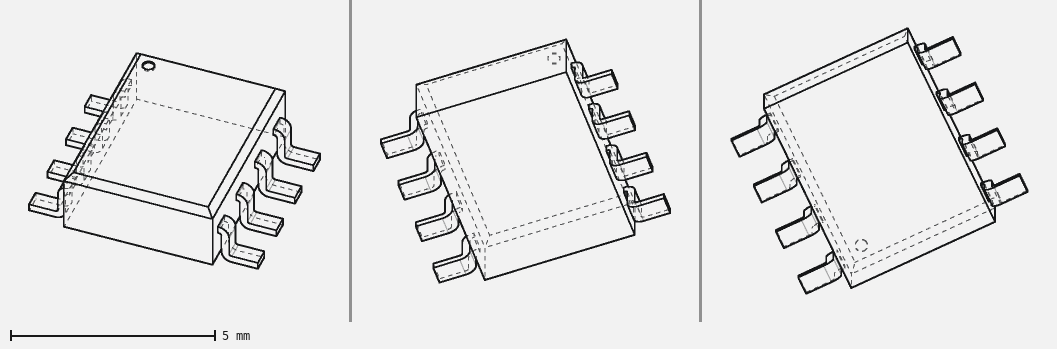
import cadquery as cq

span_x = 6.0
body_length = 5.0
total_height = 1.8

body_width = 3.9
standoff = 0.1
body_height = total_height - standoff
body_chamfer = 0.185

mark_diameter = 0.3
mark_inset = 0.51
mark_depth = 0.05

leads_per_side = 4
lead_pitch = 1.27
lead_width = 0.455
lead_thickness = 0.2
lead_top = 1.05
shank_offset = 0.755
bend_inner_radius = 0.065
lead_embed = 0.12

foot_tip_x = -span_x / 2
body_side_x = -body_width / 2
bend_outer_radius = bend_inner_radius + lead_thickness


def make_body():
    """Block with a bevelled top rim and the pin-one recess."""
    block = (
        cq.Workplane("XY", origin=(0, 0, standoff))
        .rect(body_width, body_length)
        .extrude(body_height)
        .faces(">Z")
        .chamfer(body_chamfer)
    )
    mark = (
        cq.Workplane("XY", origin=(0, 0, total_height - mark_depth))
        .center(body_side_x + mark_inset, body_length / 2 - mark_inset)
        .circle(mark_diameter / 2)
        .extrude(mark_depth)
    )
    return block.cut(mark)


def make_left_lead(y):
    """Lead on the -X side, centred at y: flat foot, upright shank, short shoulder into the body."""
    outer_x = foot_tip_x + shank_offset
    inner_x = outer_x + lead_thickness
    heel_x = outer_x - bend_inner_radius
    heel_z = bend_outer_radius
    shoulder_x = inner_x + bend_inner_radius
    shoulder_z = lead_top - bend_outer_radius
    root_x = body_side_x + lead_embed
    return (
        cq.Workplane("XZ", origin=(0, y, 0))
        .moveTo(foot_tip_x, 0)
        .lineTo(heel_x, 0)
        .radiusArc((inner_x, heel_z), -bend_outer_radius)
        .lineTo(inner_x, shoulder_z)
        .radiusArc((shoulder_x, lead_top - lead_thickness), bend_inner_radius)
        .lineTo(root_x, lead_top - lead_thickness)
        .lineTo(root_x, lead_top)
        .lineTo(shoulder_x, lead_top)
        .radiusArc((outer_x, shoulder_z), -bend_outer_radius)
        .lineTo(outer_x, heel_z)
        .radiusArc((heel_x, lead_thickness), bend_inner_radius)
        .lineTo(foot_tip_x, lead_thickness)
        .close()
        .extrude(lead_width / 2, both=True)
    )


result = make_body()
for index in range(leads_per_side):
    lead_y = (index - (leads_per_side - 1) / 2) * lead_pitch
    left_lead = make_left_lead(lead_y)
    right_lead = left_lead.rotate((0, 0, 0), (0, 0, 1), 180)
    result = result.union(left_lead).union(right_lead)